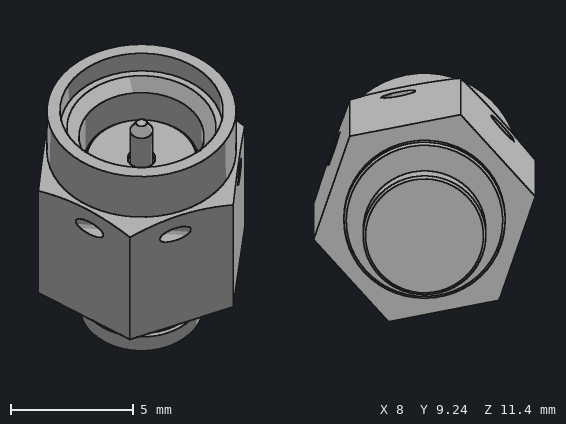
import cadquery as cq
import math

total_height = 11.4
base_disc_top = 1.0
flange_bottom = 2.39
hex_bottom = 2.8
hex_top = 9.09
boss_top = 8.66
annular_gap_floor = 7.98
pin_tip = 10.69

across_flats = 8.0
hex_corner_radius = across_flats / math.sqrt(3)
hex_chamfer_angle = 30.0
base_disc_radius = 2.51
neck_radius = 2.05
flange_radius = 3.3
collar_radius = 3.86
edge_chamfer = 0.1

mouth_radius = 3.33
mouth_depth = 1.0
cone_radius = 3.04
bore_radius = 2.55
boss_radius = 2.31
boss_chamfer = 0.08

pin_radius = 0.47
pin_tip_radius = 0.22
pin_cone_height = 0.43
pin_clearance_radius = 0.57
pin_clearance_depth = 0.23

neck_hole_diameter = 1.0
neck_hole_height = 1.69
wire_hole_diameter = 0.7
wire_hole_height = 8.0
wire_hole_offset = 3.6
wire_hole_angles = (90, 210, 330)


def cylinder(radius, bottom, top):
    return cq.Workplane("XY").workplane(offset=bottom).circle(radius).extrude(top - bottom)


def revolve_profile(points):
    """Revolve a closed (radius, height) outline about the Z axis."""
    return cq.Workplane("XZ").polyline(points).close().revolve(360, (0, 0), (0, 1))


def make_hex():
    """Hexagon with corners on the Y axis and a conical chamfer at its top."""
    hexagon = (
        cq.Workplane("XY").workplane(offset=hex_bottom)
        .polygon(6, 2 * hex_corner_radius).extrude(hex_top - hex_bottom)
        .rotate((0, 0, 0), (0, 0, 1), 90)
    )
    cone_outer_radius = hex_corner_radius + 0.11
    cone_drop = (cone_outer_radius - collar_radius) * math.tan(math.radians(hex_chamfer_angle))
    envelope = revolve_profile([
        (0, hex_bottom),
        (cone_outer_radius, hex_bottom),
        (cone_outer_radius, hex_top - cone_drop),
        (collar_radius, hex_top),
        (0, hex_top),
    ])
    return hexagon.intersect(envelope)


def make_body():
    base_disc = cylinder(base_disc_radius, 0, base_disc_top).edges().chamfer(edge_chamfer)
    neck = cylinder(neck_radius, 0, flange_bottom)
    flange = cylinder(flange_radius, flange_bottom, hex_bottom).edges("<Z").chamfer(edge_chamfer)
    collar = cylinder(collar_radius, hex_top, total_height)
    return base_disc.union(neck).union(flange).union(make_hex()).union(collar)


def make_socket():
    """Stepped opening with a 45 degree lead-in down to the bore."""
    mouth_floor = total_height - mouth_depth
    bore_start = mouth_floor - (cone_radius - bore_radius)
    return revolve_profile([
        (0, annular_gap_floor),
        (bore_radius, annular_gap_floor),
        (bore_radius, bore_start),
        (cone_radius, mouth_floor),
        (mouth_radius, mouth_floor),
        (mouth_radius, total_height),
        (0, total_height),
    ])


def make_boss():
    """Inner boss with a clearance hole around the pin."""
    boss = cylinder(boss_radius, annular_gap_floor, boss_top).edges(">Z").chamfer(boss_chamfer)
    clearance_floor = boss_top - pin_clearance_depth
    boss = boss.cut(cylinder(pin_clearance_radius, clearance_floor, boss_top))
    pin = revolve_profile([
        (0, annular_gap_floor),
        (pin_radius, annular_gap_floor),
        (pin_radius, pin_tip - pin_cone_height),
        (pin_tip_radius, pin_tip),
        (0, pin_tip),
    ])
    return boss.union(pin)


def make_neck_hole():
    return (
        cq.Workplane("XZ").center(0, neck_hole_height)
        .circle(neck_hole_diameter / 2).extrude(base_disc_radius, both=True)
    )


def make_wire_hole(angle):
    """Hole across one hexagon corner, square to the radius at that corner."""
    return (
        cq.Workplane("XZ").center(wire_hole_offset, wire_hole_height)
        .circle(wire_hole_diameter / 2).extrude(hex_corner_radius, both=True)
        .rotate((0, 0, 0), (0, 0, 1), angle)
    )


result = make_body().cut(make_socket()).union(make_boss()).cut(make_neck_hole())
for corner_angle in wire_hole_angles:
    result = result.cut(make_wire_hole(corner_angle))